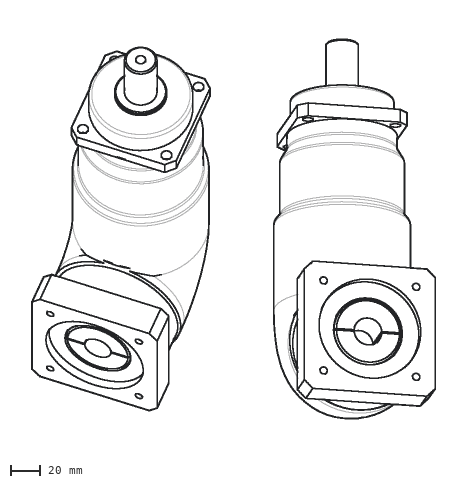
import cadquery as cq
import math


OVERLAP = 2.7

shaft_top = 274.8
shaft_radius = 11.0
shaft_chamfer = 1.0
collar_top = 237.5
collar_radius = 17.5
collar_chamfer = 0.8
pilot_top = 234.7
pilot_radius = 70.0 / 2
pilot_fillet = 2.0
output_flange_top = 218.5
output_flange_bottom = 209.5
output_flange_width = 75.5
output_flange_chamfer = 6.0
output_hole_spacing = 60.2
output_hole_radius = 3.5
neck_radius = 37.0
upper_cone_top = 199.2
upper_cone_bottom = 190.7
upper_body_radius = 42.0
lower_cone_top = 152.2
lower_cone_bottom = 147.3
housing_radius = 92.0 / 2
cone_blend = 3.3

center_hole_radius = 3.3
center_hole_depth = 16.5

bend_radius = 39.0
bend_z = 86.0
elbow_axis_z = bend_z - bend_radius
elbow_face_y = -45.0
relief_top = 95.4

overall_depth = 133.0
plate_width = 90.0
plate_thickness = 22.0
plate_chamfer = 5.8
plate_face_y = housing_radius - overall_depth
plate_back_y = plate_face_y + plate_thickness
input_z = plate_width / 2
spigot_radius = 44.0
pocket_radius = 70.0 / 2
pocket_depth = 6.0
screw_hole_spacing = 63.8
screw_hole_radius = 2.5
screw_hole_depth = 16.5

hub_recess_radius = 23.5
hub_radius = 23.0
hub_chamfer = 1.5
hub_groove_depth = 8.2
hub_bore_radius = 19.0 / 2
hub_bore_depth = 27.5
hub_slit_width = 1.0

DRILL_TIP_ANGLE = 118.0


def cylinder_z(radius, bottom, top):
    return cq.Workplane("XY", origin=(0, 0, bottom)).circle(radius).extrude(top - bottom)


def input_plane(y):
    """Sketch plane on the input axis at the given Y, extruding toward +Y."""
    return cq.Workplane(cq.Plane(origin=(0, y, input_z), xDir=(-1, 0, 0), normal=(0, 1, 0)))


def square_plate(plane, width, thickness, chamfer):
    """Square plate with chamfered corners, extruded from the given plane."""
    corner_edges = cq.selectors.ParallelDirSelector(plane.plane.zDir)
    return plane.rect(width, width).extrude(thickness).edges(corner_edges).chamfer(chamfer)


def drill(radius, depth):
    """Blind drill shape along +Z: full-width depth followed by a conical tip."""
    tip = radius / math.tan(math.radians(DRILL_TIP_ANGLE / 2))
    profile = [(0, 0), (radius, 0), (radius, depth), (0, depth + tip)]
    return cq.Workplane("XZ").polyline(profile).close().revolve(360, (0, 0), (0, 1))


def make_housing():
    """Stepped round housing with blended cones between its diameters."""
    top = output_flange_bottom + OVERLAP
    profile = [
        (0, bend_z),
        (housing_radius, bend_z),
        (housing_radius, lower_cone_bottom),
        (upper_body_radius, lower_cone_top),
        (upper_body_radius, upper_cone_bottom),
        (neck_radius, upper_cone_top),
        (neck_radius, top),
        (0, top),
    ]
    housing = cq.Workplane("XZ").polyline(profile).close().revolve(360, (0, 0), (0, 1))
    reach = housing_radius + OVERLAP
    cone_band = cq.selectors.BoxSelector(
        (-reach, -reach, lower_cone_bottom - OVERLAP),
        (reach, reach, upper_cone_top + OVERLAP),
        boundingbox=True,
    )
    return housing.edges(cone_band).edges("%CIRCLE").fillet(cone_blend)


def make_output_flange():
    base = cq.Workplane("XY", origin=(0, 0, output_flange_bottom))
    thickness = output_flange_top - output_flange_bottom
    bolt_holes = (
        base.rect(output_hole_spacing, output_hole_spacing, forConstruction=True)
        .vertices()
        .circle(output_hole_radius)
        .extrude(thickness)
    )
    flange = square_plate(base, output_flange_width, thickness, output_flange_chamfer)
    return flange.cut(bolt_holes)


def make_output_shaft():
    """Pilot, seal collar and shaft with a centre hole in its tip."""
    pilot = cylinder_z(pilot_radius, output_flange_top - OVERLAP, pilot_top)
    pilot = pilot.faces(">Z").edges().fillet(pilot_fillet)
    collar = cylinder_z(collar_radius, pilot_top - OVERLAP, collar_top)
    collar = collar.faces(">Z").edges().chamfer(collar_chamfer)
    shaft = cylinder_z(shaft_radius, collar_top - OVERLAP, shaft_top)
    shaft = shaft.faces(">Z").edges().chamfer(shaft_chamfer)
    center_hole = drill(center_hole_radius, center_hole_depth).rotate((0, 0, 0), (1, 0, 0), 180)
    return pilot.union(collar).union(shaft).cut(center_hole.translate((0, 0, shaft_top)))


def make_elbow():
    half_chord = math.sqrt(housing_radius**2 - bend_radius**2)
    bend = (
        cq.Workplane("XY", origin=(0, 0, bend_z))
        .moveTo(-half_chord, -bend_radius)
        .threePointArc((0, housing_radius), (half_chord, -bend_radius))
        .close()
        .revolve(90, (0, -bend_radius), (-1, -bend_radius))
    )
    outlet = (
        cq.Workplane("XZ", origin=(0, -bend_radius, elbow_axis_z))
        .circle(housing_radius)
        .extrude(-bend_radius - elbow_face_y)
    )
    return bend.union(outlet)


def cut_relief(body):
    """Trim the housing flush with the elbow face below the relief height."""
    depth = housing_radius + elbow_face_y + OVERLAP
    relief = cq.Workplane("XY").box(2 * housing_radius, depth, relief_top, centered=(True, False, False))
    return body.cut(relief.translate((0, elbow_face_y - depth, 0)))


def make_input_flange():
    plate = square_plate(input_plane(plate_face_y), plate_width, plate_thickness, plate_chamfer)
    spigot = input_plane(plate_back_y - OVERLAP).circle(spigot_radius)
    spigot = spigot.extrude(elbow_face_y - plate_back_y + 2 * OVERLAP)
    return plate.union(spigot)


def cut_input_details(body):
    floor_y = plate_face_y + pocket_depth
    pocket = input_plane(plate_face_y).circle(pocket_radius).extrude(pocket_depth)
    recess = input_plane(floor_y).circle(hub_recess_radius).extrude(hub_groove_depth)
    hub = input_plane(floor_y).circle(hub_radius).extrude(hub_groove_depth)
    hub = hub.faces("<Y").edges().chamfer(hub_chamfer)
    bore = input_plane(floor_y).circle(hub_bore_radius).extrude(hub_bore_depth)
    slit = input_plane(floor_y).rect(2 * hub_radius, hub_slit_width).extrude(hub_bore_depth)
    body = body.cut(pocket).cut(recess.cut(hub)).cut(bore).cut(slit)

    screw_hole = drill(screw_hole_radius, screw_hole_depth).rotate((0, 0, 0), (1, 0, 0), -90)
    offset = screw_hole_spacing / 2
    for x in (-offset, offset):
        for z in (input_z - offset, input_z + offset):
            body = body.cut(screw_hole.translate((x, plate_face_y, z)))
    return body


gearbox = cut_relief(make_housing().union(make_elbow()))
gearbox = gearbox.union(make_output_flange()).union(make_output_shaft()).union(make_input_flange())
result = cut_input_details(gearbox).solids()